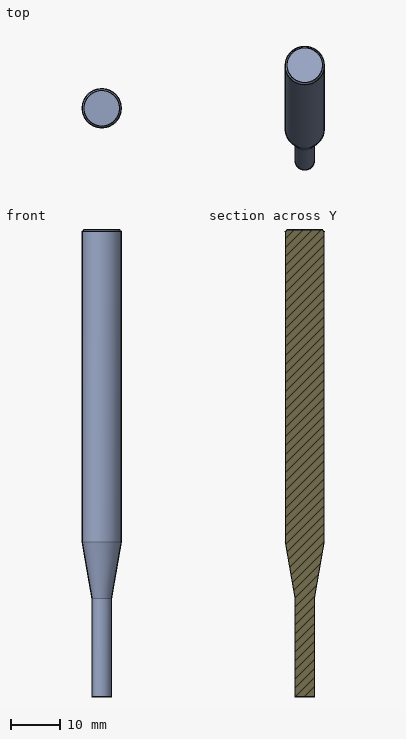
import cadquery as cq

total_length = 95.0
shank_diameter = 8.0
neck_diameter = 4.0
neck_length = 19.95
taper_length = 11.5
top_chamfer = 0.4

shank_radius = shank_diameter / 2
neck_radius = neck_diameter / 2
shank_bottom = neck_length + taper_length

profile = (
    cq.Workplane("XZ")
    .moveTo(0, 0)
    .lineTo(neck_radius, 0)
    .lineTo(neck_radius, neck_length)
    .lineTo(shank_radius, shank_bottom)
    .lineTo(shank_radius, total_length - top_chamfer)
    .lineTo(shank_radius - top_chamfer, total_length)
    .lineTo(0, total_length)
    .close()
)

result = profile.revolve(360, (0, 0, 0), (0, 1, 0))